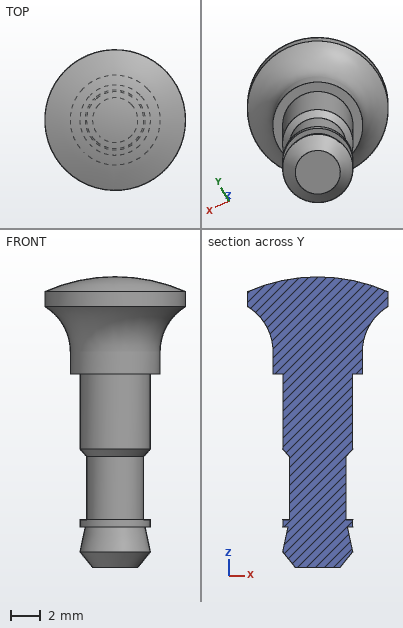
import cadquery as cq

head_radius = 4.7
collar_radius = 3.0
body_radius = 2.35
neck_radius = 1.9
barb_top_radius = 2.0
tip_radius = 1.5

flange_thickness = 0.5
neck_length = 4.2
body_taper_length = 0.5
body_length = 5.0
collar_length = 1.5
flare_length = 3.0
rim_thickness = 1.0
dome_height = 1.0

barb_edge_z = 1.05
flange_bottom_z = 2.7
flange_top_z = flange_bottom_z + flange_thickness
neck_top_z = flange_top_z + neck_length
body_bottom_z = neck_top_z + body_taper_length
collar_bottom_z = body_bottom_z + body_length
collar_top_z = collar_bottom_z + collar_length
rim_bottom_z = collar_top_z + flare_length
rim_top_z = rim_bottom_z + rim_thickness
dome_top_z = rim_top_z + dome_height

dome_sphere_radius = (head_radius**2 + dome_height**2) / (2 * dome_height)
dome_middle_radius = head_radius / 2
dome_middle_z = (
    dome_top_z - dome_sphere_radius + (dome_sphere_radius**2 - dome_middle_radius**2) ** 0.5
)


def half_profile():
    """Closed half section in the XZ plane, drawn from the tip up to the dome."""
    return (
        cq.Workplane("XZ")
        .moveTo(0, 0)
        .lineTo(tip_radius, 0)
        .lineTo(body_radius, barb_edge_z)
        .lineTo(barb_top_radius, flange_bottom_z)
        .lineTo(body_radius, flange_bottom_z)
        .lineTo(body_radius, flange_top_z)
        .lineTo(neck_radius, flange_top_z)
        .lineTo(neck_radius, neck_top_z)
        .lineTo(body_radius, body_bottom_z)
        .lineTo(body_radius, collar_bottom_z)
        .lineTo(collar_radius, collar_bottom_z)
        .lineTo(collar_radius, collar_top_z)
        .tangentArcPoint((head_radius, rim_bottom_z), relative=False)
        .lineTo(head_radius, rim_top_z)
        .threePointArc((dome_middle_radius, dome_middle_z), (0, dome_top_z))
        .close()
    )


result = half_profile().revolve(360, (0, 0, 0), (0, 1, 0))